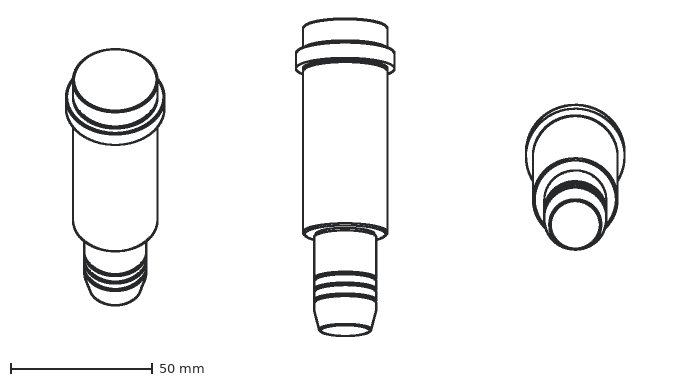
import cadquery as cq

LENGTH = 110.0
BODY_DIAMETER = 30.0
COLLAR_DIAMETER = 35.0
SHANK_DIAMETER = 22.0
TIP_DIAMETER = 18.3

COLLAR_TOP = 101.0
COLLAR_HEIGHT = 5.9
BODY_BOTTOM = 35.0
CONE_HEIGHT = 7.3
RELIEF_WIDTH = 1.0
EDGE_CHAMFER = 0.4
BODY_CHAMFER = 0.7

GROOVE_DEPTH = 0.5
GROOVE_COUNT = 3
GROOVE_PITCH = 4.0
LOWEST_GROOVE_HEIGHT = 10.6
GROOVE_WIDTH = 1.0


def cylinder(diameter, bottom, top):
    """Solid cylinder on the Z axis between two heights."""
    return cq.Workplane("XY").workplane(offset=bottom).circle(diameter / 2).extrude(top - bottom)


def v_groove(surface_diameter, height, width):
    """Ring-shaped cutter for a V groove whose apex lies at the given height."""
    surface_radius = surface_diameter / 2
    outer_radius = surface_radius + GROOVE_DEPTH
    return (
        cq.Workplane("XZ")
        .moveTo(surface_radius - GROOVE_DEPTH, height)
        .lineTo(outer_radius, height - width)
        .lineTo(outer_radius, height + width)
        .close()
        .revolve(360, (0, 0, 0), (0, 1, 0))
    )


collar_bottom = COLLAR_TOP - COLLAR_HEIGHT
body = (
    cylinder(BODY_DIAMETER, BODY_BOTTOM, LENGTH)
    .faces(">Z")
    .chamfer(EDGE_CHAMFER)
    .faces("<Z")
    .chamfer(BODY_CHAMFER)
    .cut(v_groove(BODY_DIAMETER, COLLAR_TOP + RELIEF_WIDTH / 2, RELIEF_WIDTH))
    .cut(v_groove(BODY_DIAMETER, collar_bottom - RELIEF_WIDTH / 2, RELIEF_WIDTH))
)
collar = cylinder(COLLAR_DIAMETER, collar_bottom, COLLAR_TOP).faces(">Z").chamfer(EDGE_CHAMFER)

shank_top = BODY_BOTTOM - RELIEF_WIDTH
shank = cylinder(SHANK_DIAMETER, CONE_HEIGHT, shank_top)
shank_neck = cylinder(SHANK_DIAMETER - 2 * GROOVE_DEPTH, shank_top, BODY_BOTTOM)

tip = (
    cq.Workplane("XY")
    .circle(TIP_DIAMETER / 2)
    .workplane(offset=CONE_HEIGHT)
    .circle(SHANK_DIAMETER / 2)
    .loft()
    .faces("<Z")
    .chamfer(EDGE_CHAMFER)
)

result = tip.union(shank).union(shank_neck).union(body).union(collar)

for index in range(GROOVE_COUNT):
    groove_height = LOWEST_GROOVE_HEIGHT + index * GROOVE_PITCH
    result = result.cut(v_groove(SHANK_DIAMETER, groove_height, GROOVE_WIDTH))